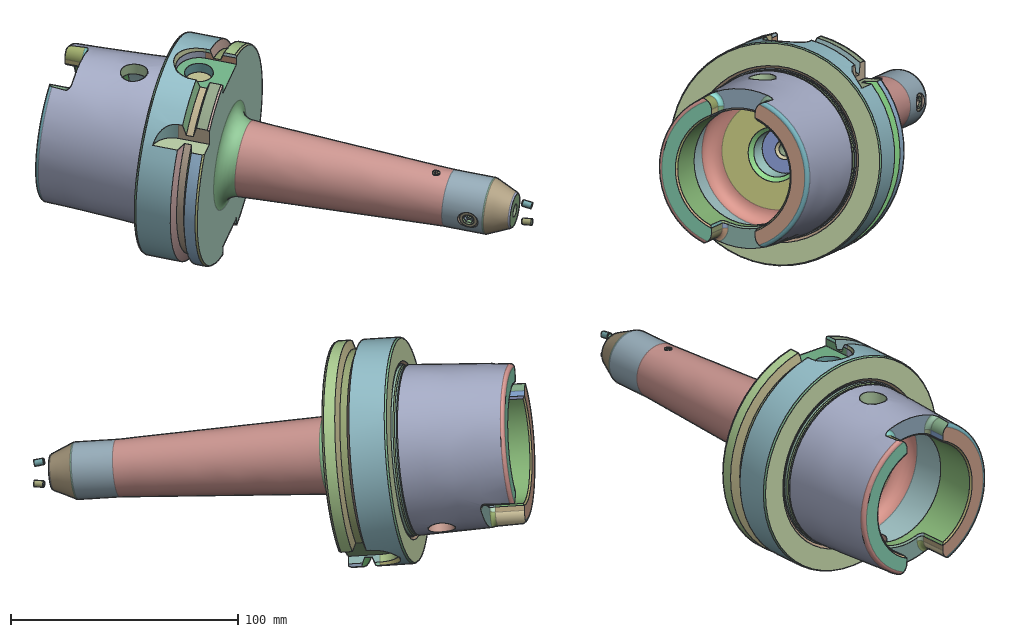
import cadquery as cq
import math


tolerance = 0.01

shank_length = 50.0
shank_end_radius = 35.5
shank_base_radius = 37.7
shank_end_round = 1.8
relief_start = -2.6
relief_floor_start = -2.0
relief_floor_end = -1.2
relief_end = -0.6
relief_radius = 37.3
face_recess_radius = 39.5
face_recess_floor_radius = 38.3
face_recess_depth = 0.8

bore_radius = 26.6
mouth_chamfer = 0.8
clamp_shoulder_depth = 20.4
clamp_shoulder_angle = 60.0
clamp_recess_radius = 31.5
bore_floor_radius = 24.7
bore_floor_x = -1.0

tube_seat_radius = 10.4
tube_seat_mouth_radius = 12.3
tube_seat_depth = 12.0
coolant_radius = 2.95
coolant_mouth_radius = 4.25

drive_slot_width = 20.7
drive_slot_round = 4.7
drive_slot_round_top = 32.4
drive_slot_corner_radius = 2.0
upper_drive_slot_depth = 10.0
lower_drive_slot_depth = 15.0

cross_hole_x = -15.0
cross_hole_diameter = 12.0

flange_radius = 50.0
flange_width = 29.0
flange_chamfer_length = 0.9
flange_chamfer_drop = 0.5
groove_floor_radius = 46.0
groove_start = 16.7
groove_floor_start = 18.4
groove_floor_end = 21.6
groove_end = 23.1

keyway_x = 14.8
keyway_width = 20.5
keyway_floor = 44.0
keyway_lip_bottom = 47.5
keyway_lip_angle = 20.0
keyway_hole_diameter = 12.6
keyway_hole_depth = 5.0
notch_radius = 9.6
notch_offset = 31.2

nose_end = 160.0
nose_fillet = 7.5
neck_radius = 17.2
neck_start = flange_width + nose_fillet
tip_start = 130.2
tip_radius = 12.75
tip_cone_start = 149.3
tip_edge_break_length = 0.6
tip_edge_break_drop = 0.1
tip_face_radius = 7.6
tip_face_chamfer_length = 0.7
tip_face_chamfer_height = 0.6

clamp_screw_x = 142.2
clamp_screw_radius = 4.0
clamp_screw_length = 5.0
clamp_screw_recess = 0.8
clamp_hole_chamfer = 0.7
clamp_hex_width = 4.0
clamp_hex_depth = 2.5
clamp_hex_countersink_radius = 2.7
clamp_pilot_radius = 1.2
clamp_pilot_depth = 3.5

plug_x = 123.8
plug_radius = 1.7
plug_length = 4.0
plug_recess = 0.4
plug_hex_width = 1.8
plug_hex_depth = 1.5

set_screw_radius = 1.5
set_screw_length = 4.5
set_screw_chamfer = 0.4
set_screw_tilt = 8.0
set_screw_middle = 165.55
set_screw_offset = 5.0


def hexagon_diameter(width_across_flats):
    return width_across_flats / math.cos(math.pi / 6)


def revolved(profile):
    return profile.close().revolve(360, (0, 0, 0), (1, 0, 0))


def turned(points):
    """Solid of revolution about the X axis from (x, radius) points."""
    return revolved(cq.Workplane("XY").polyline(points))


def make_shank():
    end = -shank_length
    shank = turned([
        (end, 0),
        (end, shank_end_radius),
        (relief_start, shank_base_radius),
        (relief_floor_start, relief_radius),
        (relief_floor_end, relief_radius),
        (relief_end, shank_base_radius),
        (face_recess_depth, shank_base_radius),
        (face_recess_depth, 0),
    ])
    return shank.faces("<X").edges().fillet(shank_end_round)


def make_flange():
    rim_radius = flange_radius - flange_chamfer_drop
    return turned([
        (face_recess_depth, 0),
        (face_recess_depth, face_recess_floor_radius),
        (0, face_recess_radius),
        (0, rim_radius),
        (flange_chamfer_length, flange_radius),
        (groove_start, flange_radius),
        (groove_floor_start, groove_floor_radius),
        (groove_floor_end, groove_floor_radius),
        (groove_end, flange_radius),
        (flange_width - flange_chamfer_length, flange_radius),
        (flange_width, rim_radius),
        (flange_width, 0),
    ])


def make_nose():
    arc_inset = nose_fillet * (1 - math.sqrt(0.5))
    profile = (
        cq.Workplane("XY")
        .moveTo(flange_width, 0)
        .lineTo(flange_width, neck_radius + nose_fillet)
        .threePointArc(
            (flange_width + arc_inset, neck_radius + arc_inset),
            (neck_start, neck_radius),
        )
        .lineTo(tip_start, tip_radius)
        .lineTo(tip_cone_start - tip_edge_break_length, tip_radius)
        .lineTo(tip_cone_start, tip_radius - tip_edge_break_drop)
        .lineTo(nose_end - tip_face_chamfer_length, tip_face_radius + tip_face_chamfer_height)
        .lineTo(nose_end, tip_face_radius)
        .lineTo(nose_end, 0)
    )
    return revolved(profile)


def make_bore():
    mouth_x = -shank_length
    shoulder_x = mouth_x + clamp_shoulder_depth
    shoulder_length = (clamp_recess_radius - bore_radius) / math.tan(math.radians(clamp_shoulder_angle))
    floor_round = clamp_recess_radius - bore_floor_radius
    arc_reach = floor_round * math.sqrt(0.5)
    profile = (
        cq.Workplane("XY")
        .moveTo(mouth_x, 0)
        .lineTo(mouth_x, bore_radius)
        .lineTo(shoulder_x, bore_radius)
        .lineTo(shoulder_x + shoulder_length, clamp_recess_radius)
        .lineTo(bore_floor_x - floor_round, clamp_recess_radius)
        .threePointArc(
            (bore_floor_x - floor_round + arc_reach, bore_floor_radius + arc_reach),
            (bore_floor_x, bore_floor_radius),
        )
        .lineTo(bore_floor_x, 0)
    )
    return revolved(profile)


def make_coolant_channel():
    seat_end = bore_floor_x + tube_seat_depth
    return turned([
        (bore_floor_x, 0),
        (bore_floor_x, tube_seat_mouth_radius),
        (bore_floor_x + tube_seat_mouth_radius - tube_seat_radius, tube_seat_radius),
        (seat_end, tube_seat_radius),
        (seat_end, coolant_mouth_radius),
        (seat_end + coolant_mouth_radius - coolant_radius, coolant_radius),
        (nose_end, coolant_radius),
        (nose_end, 0),
    ])


def make_drive_slot(depth):
    """Cutter for the upper slot in the shank end; its side walls round outwards to the shank surface."""
    half_width = drive_slot_width / 2
    round_start = drive_slot_round_top - drive_slot_round
    round_end = half_width + drive_slot_round
    arc_inset = drive_slot_round * (1 - math.sqrt(0.5))
    arc_middle_y = half_width + arc_inset
    arc_middle_z = drive_slot_round_top - arc_inset
    slot = (
        cq.Workplane("YZ", origin=(-shank_length, 0, 0))
        .moveTo(-half_width, 0)
        .lineTo(-half_width, round_start)
        .threePointArc((-arc_middle_y, arc_middle_z), (-round_end, drive_slot_round_top))
        .lineTo(-2 * half_width, drive_slot_round_top)
        .lineTo(-2 * half_width, flange_radius)
        .lineTo(2 * half_width, flange_radius)
        .lineTo(2 * half_width, drive_slot_round_top)
        .lineTo(round_end, drive_slot_round_top)
        .threePointArc((arc_middle_y, arc_middle_z), (half_width, round_start))
        .lineTo(half_width, 0)
        .close()
        .extrude(depth)
    )
    return slot.faces(">X").edges().fillet(drive_slot_corner_radius)


def make_cross_hole():
    return (
        cq.Workplane("XY")
        .center(cross_hole_x, 0)
        .circle(cross_hole_diameter / 2)
        .extrude(flange_radius, both=True)
    )


def round_ended_slot(half_width, center_y, floor, top, taper=0):
    """Cutter with a half-round end at the keyway position, running out at the flange front."""
    open_end = flange_width + half_width
    return (
        cq.Workplane("XY", origin=(0, center_y, floor))
        .moveTo(open_end, half_width)
        .lineTo(keyway_x, half_width)
        .threePointArc((keyway_x - half_width, 0), (keyway_x, -half_width))
        .lineTo(open_end, -half_width)
        .close()
        .extrude(top - floor, taper=taper)
    )


def make_keyway():
    half_width = keyway_width / 2
    slot = round_ended_slot(half_width, 0, keyway_floor, flange_radius)
    lip = round_ended_slot(half_width, 0, keyway_lip_bottom, flange_radius, -keyway_lip_angle)
    return slot.union(lip)


def make_keyway_hole():
    return (
        cq.Workplane("XY", origin=(keyway_x, 0, keyway_floor))
        .circle(keyway_hole_diameter / 2)
        .extrude(-keyway_hole_depth)
    )


def make_notch():
    """Corner notch between -Y and +Z; its floor and its side wall are equally far from the axis."""
    return round_ended_slot(notch_radius, -notch_offset - notch_radius, notch_offset, flange_radius)


clamp_screw_top = tip_radius - clamp_screw_recess


def clamp_plane():
    """Workplane on the top of the clamping screw; negative extrusions go towards the holder axis."""
    return cq.Workplane("XZ", origin=(clamp_screw_x, -clamp_screw_top, 0))


def make_clamp_screw_hole():
    hole = clamp_plane().circle(clamp_screw_radius).extrude(-clamp_screw_length)
    mouth = (
        clamp_plane()
        .circle(clamp_screw_radius)
        .workplane(offset=clamp_screw_recess)
        .circle(clamp_screw_radius + clamp_hole_chamfer)
        .loft()
    )
    return hole.union(mouth)


def make_clamp_screw():
    countersink_depth = clamp_hex_countersink_radius - clamp_hex_width / 2
    countersink = (
        clamp_plane()
        .circle(clamp_hex_countersink_radius)
        .workplane(offset=-countersink_depth)
        .circle(clamp_hex_width / 2)
        .loft()
    )
    return (
        clamp_plane()
        .circle(clamp_screw_radius)
        .extrude(-clamp_screw_length)
        .cut(clamp_plane().polygon(6, hexagon_diameter(clamp_hex_width)).extrude(-clamp_hex_depth))
        .cut(clamp_plane().circle(clamp_pilot_radius).extrude(-clamp_pilot_depth))
        .cut(countersink)
    )


nose_slope = (neck_radius - tip_radius) / (tip_start - neck_start)
plug_top = tip_radius + nose_slope * (tip_start - plug_x) - plug_recess


def plug_plane():
    return cq.Workplane("XY", origin=(plug_x, 0, plug_top))


def make_plug_hole():
    seat = plug_plane().circle(plug_radius).extrude(-plug_length)
    return seat.union(plug_plane().circle(plug_radius).extrude(2 * plug_recess))


def make_plug():
    socket = plug_plane().polygon(6, hexagon_diameter(plug_hex_width)).extrude(-plug_hex_depth)
    return plug_plane().circle(plug_radius).extrude(-plug_length).cut(socket)


def make_set_screw(side):
    """Set screw above (side 1) or below (side -1) the axis, leaning towards it at the front end."""
    return (
        cq.Workplane("YZ", origin=(-set_screw_length / 2, 0, 0))
        .circle(set_screw_radius)
        .extrude(set_screw_length)
        .faces("<X")
        .chamfer(set_screw_chamfer)
        .rotate((0, 0, 0), (0, 1, 0), side * set_screw_tilt)
        .translate((set_screw_middle, 0, side * set_screw_offset))
    )


def is_mouth_edge(edge):
    """True for the edges where the bore meets the shank end and the drive slots."""
    shoulder_x = -shank_length + clamp_shoulder_depth
    end_points = [edge.startPoint(), edge.endPoint()]
    return all(
        point.x < shoulder_x - tolerance and abs(math.hypot(point.y, point.z) - bore_radius) < tolerance
        for point in end_points
    )


def make_holder():
    body = make_shank().union(make_flange()).union(make_nose())
    keyway = make_keyway()
    cutters = [
        make_bore(),
        make_coolant_channel(),
        make_drive_slot(upper_drive_slot_depth),
        make_drive_slot(lower_drive_slot_depth).mirror("XY"),
        make_cross_hole(),
        keyway,
        keyway.mirror("XY"),
        make_keyway_hole(),
        make_notch(),
        make_clamp_screw_hole(),
        make_plug_hole(),
    ]
    for cutter in cutters:
        body = body.cut(cutter)
    return body.edges().filter(is_mouth_edge).chamfer(mouth_chamfer)


holder = make_holder()
clamp_screw = make_clamp_screw()
plug = make_plug()
set_screws = [make_set_screw(side) for side in (1, -1)]

result = cq.Compound.makeCompound([
    holder.val(),
    clamp_screw.val(),
    plug.val(),
    *[set_screw.val() for set_screw in set_screws],
])